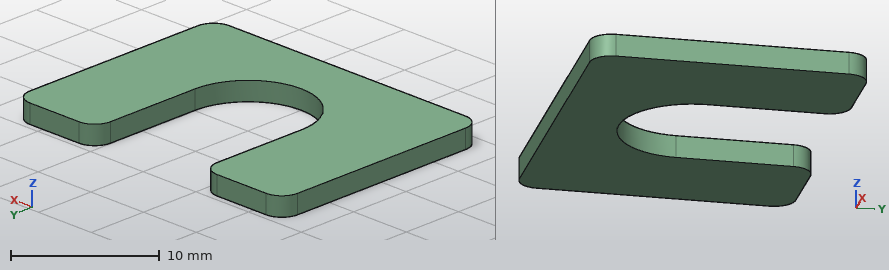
import cadquery as cq

length = 25.4
width = 19.05
thickness = 1.57
corner_radius = 1.5

slot_width = 10.1
slot_floor = 4.42
slot_radius = slot_width / 2

half_length = length / 2
back_y = width / 2
front_y = -back_y
slot_bottom_y = front_y + slot_floor
slot_center_y = slot_bottom_y + slot_radius

plate = (
    cq.Workplane("XY")
    .moveTo(-half_length, front_y)
    .lineTo(half_length, front_y)
    .lineTo(half_length, back_y)
    .lineTo(slot_radius, back_y)
    .lineTo(slot_radius, slot_center_y)
    .threePointArc((0, slot_bottom_y), (-slot_radius, slot_center_y))
    .lineTo(-slot_radius, back_y)
    .lineTo(-half_length, back_y)
    .close()
    .extrude(thickness)
)

front_corners = plate.edges("|Z and <Y")
back_corners = plate.edges("|Z and >Y")
result = plate.newObject(front_corners.vals() + back_corners.vals()).fillet(corner_radius)